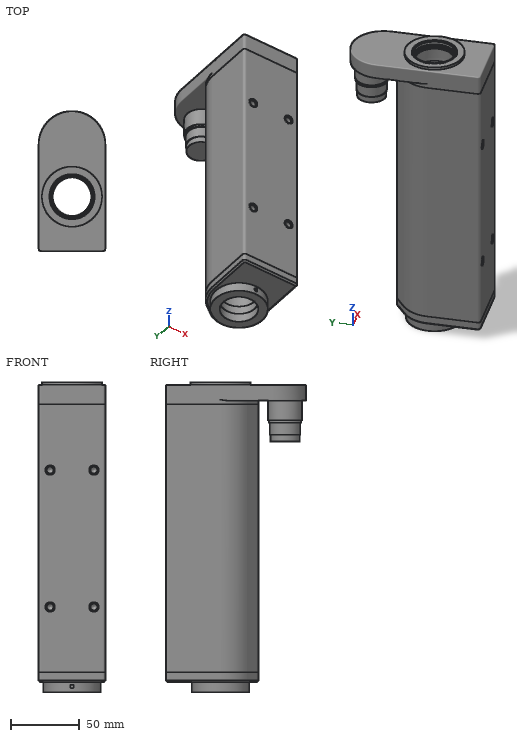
import cadquery as cq
import math

total_height = 227.0
hub_height = 7.5
lower_cap_height = 7.0
upper_cap_height = 14.3
collar_height = 2.0
arm_thickness = 11.5

lower_cap_bottom = hub_height
housing_bottom = lower_cap_bottom + lower_cap_height
upper_cap_top = total_height - collar_height
housing_top = upper_cap_top - upper_cap_height
arm_bottom = upper_cap_top - arm_thickness

column_width = 49.0
half_width = column_width / 2
front_depth = 40.0
flank_angle = 52.8
nose_radius = 11.0
corner_radius = 2.0
arm_reach = 38.1

top_edge_radius = 1.0
arm_lower_edge_radius = 0.7
lower_cap_chamfer = 1.4

bore_diameter = 28.1
cap_bore_diameter = 28.4
bore_taper_height = 2.5
collar_diameter = 44.0
collar_seat_depth = 4.0
collar_total_height = collar_height + collar_seat_depth
collar_mouth_diameter = 33.1
hub_diameter = 42.2
hub_hole_diameter = 2.7
hub_hole_height = 4.3

lip_groove_depth = 1.4
lip_tip_diameter = 31.5
lip_edge_depth = 1.1
lip_throat_diameter = 30.2
lip_throat_depth = 2.7
lip_seat_depth = 4.0
lip_seat_chamfer = 0.7

mount_spacing_x = 32.0
mount_spacing_z = 100.0
mount_lower_height = 62.5
mount_diameter = 5.0
mount_recess_diameter = 7.0
mount_recess_depth = 1.0
mount_depth = 8.0
drill_tip_angle = 118.0

connector_offset = 47.2
connector_diameter = 25.0
connector_band_diameter = 24.0
connector_mid_diameter = 22.5
connector_tip_diameter = 21.5
connector_bottom = 183.5
connector_tip_top = 188.5
connector_mid_top = 197.3
connector_shoulder = 199.0


def column_outline(bottom):
    """Closed column outline: flat front, round sides, sloping flanks and a round nose."""
    angle = math.radians(flank_angle)
    side = (half_width * math.cos(angle), half_width * math.sin(angle))
    nose_centre = (half_width - nose_radius) / math.sin(angle)
    nose = (nose_radius * math.cos(angle), nose_centre + nose_radius * math.sin(angle))
    middle = (half_width * math.cos(angle / 2), half_width * math.sin(angle / 2))
    return (
        cq.Workplane("XY", origin=(0, 0, bottom))
        .moveTo(-half_width, -front_depth)
        .lineTo(half_width, -front_depth)
        .lineTo(half_width, 0)
        .threePointArc(middle, side)
        .lineTo(*nose)
        .threePointArc((0, nose_centre + nose_radius), (-nose[0], nose[1]))
        .lineTo(-side[0], side[1])
        .threePointArc((-middle[0], middle[1]), (-half_width, 0))
        .close()
    )


def column_block(bottom, height):
    """Column section with rounded vertical front edges."""
    front_edges = cq.selectors.BoxSelector(
        (-column_width, -front_depth - corner_radius, bottom),
        (column_width, -front_depth + corner_radius, bottom + height),
    )
    return column_outline(bottom).extrude(height).edges("|Z").edges(front_edges).fillet(corner_radius)


def cylinder(diameter, bottom, height):
    return cq.Workplane("XY", origin=(0, 0, bottom)).circle(diameter / 2).extrude(height)


def cut_bore(body):
    return body.cut(cylinder(bore_diameter, 0, total_height))


def mounting_hole(x, z):
    """Recessed blind hole with a drill-point bottom, entering the front face along +Y."""
    radius = mount_diameter / 2
    recess_radius = mount_recess_diameter / 2
    tip_depth = mount_depth + radius / math.tan(math.radians(drill_tip_angle / 2))
    return (
        cq.Workplane("XY", origin=(x, -front_depth, z))
        .polyline([
            (0, 0),
            (recess_radius, 0),
            (recess_radius, mount_recess_depth),
            (radius, mount_recess_depth),
            (radius, mount_depth),
            (0, tip_depth),
        ])
        .close()
        .revolve(360, (0, 0, 0), (0, 1, 0))
    )


def make_housing():
    housing = cut_bore(column_block(housing_bottom, housing_top - housing_bottom))
    for x in (-mount_spacing_x / 2, mount_spacing_x / 2):
        for z in (mount_lower_height, mount_lower_height + mount_spacing_z):
            housing = housing.cut(mounting_hole(x, z))
    return housing


def make_lower_cap():
    cap = column_block(lower_cap_bottom, lower_cap_height)
    return cut_bore(cap.faces("<Z").edges().chamfer(lower_cap_chamfer))


def upper_cap_bore():
    """Bore of the upper cap, tapering at its lower end to meet the housing bore."""
    taper_top = housing_top + bore_taper_height
    taper = (
        cq.Workplane("XY", origin=(0, 0, housing_top))
        .circle(bore_diameter / 2)
        .workplane(offset=bore_taper_height)
        .circle(cap_bore_diameter / 2)
        .loft()
    )
    return taper.union(cylinder(cap_bore_diameter, taper_top, upper_cap_top - taper_top))


def make_upper_cap():
    """Column section whose upper part reaches back as a round-ended arm."""
    arm = (
        cq.Workplane("XY", origin=(0, 0, arm_bottom))
        .moveTo(-half_width, 0)
        .lineTo(half_width, 0)
        .lineTo(half_width, arm_reach)
        .threePointArc((0, arm_reach + half_width), (-half_width, arm_reach))
        .close()
        .extrude(arm_thickness)
    )
    arm = arm.faces("<Z").edges("not <Y").fillet(arm_lower_edge_radius)
    cap = column_block(housing_top, upper_cap_height).union(arm)
    cap = cap.faces(">Z").edges().fillet(top_edge_radius)
    cap = cap.cut(cylinder(collar_diameter, upper_cap_top - collar_seat_depth, collar_seat_depth))
    return cap.cut(upper_cap_bore())


def make_collar():
    """Disc sunk into the upper cap, with a grooved wiper lip around its mouth."""
    outer_radius = collar_diameter / 2
    mouth_radius = collar_mouth_diameter / 2
    throat_radius = lip_throat_diameter / 2
    seat_radius = throat_radius - lip_seat_chamfer
    chamfer_end_depth = lip_seat_depth + lip_seat_chamfer
    return (
        cq.Workplane("XZ", origin=(0, 0, total_height))
        .polyline([
            (outer_radius, -collar_total_height),
            (outer_radius, 0),
            (mouth_radius, 0),
            (mouth_radius, -lip_groove_depth),
            (lip_tip_diameter / 2, 0),
            (lip_tip_diameter / 2, -lip_edge_depth),
            (throat_radius, -lip_throat_depth),
            (throat_radius, -lip_seat_depth),
            (seat_radius, -chamfer_end_depth),
            (cap_bore_diameter / 2, -chamfer_end_depth),
            (cap_bore_diameter / 2, -collar_total_height),
        ])
        .close()
        .revolve(360, (0, 0, 0), (0, 1, 0))
    )


def make_hub():
    """Ring under the lower cap with a small radial hole in its front."""
    hub = cut_bore(cylinder(hub_diameter, 0, hub_height))
    hole = (
        cq.Workplane("XZ", origin=(0, 0, hub_hole_height))
        .circle(hub_hole_diameter / 2)
        .extrude(hub_diameter)
    )
    return hub.cut(hole)


def make_connector():
    """Stepped round plug hanging from the underside of the arm."""
    radius = connector_diameter / 2
    band_radius = connector_band_diameter / 2
    mid_radius = connector_mid_diameter / 2
    tip_radius = connector_tip_diameter / 2
    return (
        cq.Workplane("XZ", origin=(0, connector_offset, 0))
        .polyline([
            (0, connector_bottom),
            (tip_radius, connector_bottom),
            (tip_radius, connector_tip_top),
            (mid_radius, connector_tip_top),
            (mid_radius, connector_mid_top),
            (band_radius, connector_mid_top),
            (band_radius, connector_shoulder),
            (radius, connector_shoulder),
            (radius, arm_bottom),
            (0, arm_bottom),
        ])
        .close()
        .revolve(360, (0, 0, 0), (0, 1, 0))
    )


housing = make_housing()
lower_cap = make_lower_cap()
upper_cap = make_upper_cap()
collar = make_collar()
hub = make_hub()
connector = make_connector()

result = cq.Compound.makeCompound([
    housing.val(),
    lower_cap.val(),
    upper_cap.val(),
    collar.val(),
    hub.val(),
    connector.val(),
])